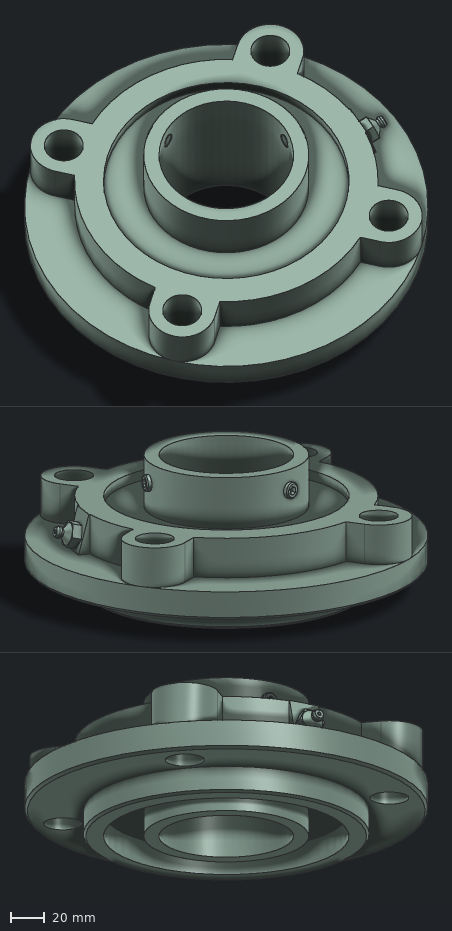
import cadquery as cq
import math

flange_diameter = 240.0
spigot_diameter = 170.0
spigot_height = 15.8
spigot_chamfer = 1.5
flange_top = 33.4
flange_chamfer = 1.7
boss_diameter = 180.5
boss_top = 57.8
lug_radius = 20.0
bolt_hole_diameter = 23.0
lug_count = 4
lug_center_radius = flange_diameter / 2 - lug_radius
lug_angles = [45 + i * 360 / lug_count for i in range(lug_count)]

overall_height = 83.3
outer_ring_diameter = 146.0
outer_ring_recess = 6.2
outer_ring_top = boss_top - outer_ring_recess
outer_ring_bottom = 2 * flange_top - outer_ring_top
inner_ring_diameter = 98.2
shaft_diameter = 80.0
screw_angles = [90, 210]
screw_height = 70.5
screw_diameter = 10.0
screw_end_diameter = 8.5
screw_projection = 3.0
screw_tip_recess = 0.5
socket_width = 5.3
socket_depth = 3.5

nipple_tilt = 15.0
pad_width = 20.0
pad_top_y = 90.5
nipple_height = 42.5
nipple_hex_corners = 17.0
nipple_hex_length = 6.0
nipple_cone_diameter = 14.0
nipple_neck_diameter = 5.3
nipple_neck_start = 9.5
nipple_head_start = 11.0
nipple_head_diameter = 7.2
nipple_head_end = 12.5
nipple_tip_diameter = 5.8
nipple_length = 14.2
nipple_hole_diameter = 2.2
nipple_hole_depth = 2.0


def cylinder(diameter, bottom, top):
    return cq.Workplane("XY").workplane(offset=bottom).circle(diameter / 2).extrude(top - bottom)


def pad_face_y(height):
    """Y of the sloping pad face at a given height."""
    return pad_top_y + (boss_top - height) * math.tan(math.radians(nipple_tilt))


def make_lug(angle):
    """Lug with parallel sides running in to the boss and a round outer end."""
    lug_height = boss_top - flange_top
    side = (
        cq.Workplane("XY")
        .workplane(offset=flange_top)
        .center(lug_center_radius / 2, 0)
        .rect(lug_center_radius, 2 * lug_radius)
        .extrude(lug_height)
    )
    end = cylinder(2 * lug_radius, flange_top, boss_top).translate((lug_center_radius, 0, 0))
    return side.union(end).rotate((0, 0, 0), (0, 0, 1), angle)


def make_nipple_pad():
    inner_y = outer_ring_diameter / 2
    return (
        cq.Workplane("YZ")
        .polyline([
            (inner_y, flange_top),
            (pad_face_y(flange_top), flange_top),
            (pad_top_y, boss_top),
            (inner_y, boss_top),
        ])
        .close()
        .extrude(pad_width / 2, both=True)
    )


def make_nipple():
    """Grease nipple standing square to the pad face."""
    tilt = math.radians(nipple_tilt)
    base = cq.Plane(
        origin=(0, pad_face_y(nipple_height), nipple_height),
        xDir=(1, 0, 0),
        normal=(0, math.cos(tilt), math.sin(tilt)),
    )
    hexagon = cq.Workplane(base).polygon(6, nipple_hex_corners).extrude(nipple_hex_length)
    tip = (
        cq.Workplane(base)
        .polyline([
            (0, 0),
            (nipple_cone_diameter / 2, 0),
            (nipple_cone_diameter / 2, nipple_hex_length),
            (nipple_neck_diameter / 2, nipple_neck_start),
            (nipple_neck_diameter / 2, nipple_head_start),
            (nipple_head_diameter / 2, nipple_head_start),
            (nipple_head_diameter / 2, nipple_head_end),
            (nipple_tip_diameter / 2, nipple_length),
            (0, nipple_length),
        ])
        .close()
    )
    tip = tip.revolve(360, (0, 0, 0), (0, 1, 0)).rotate(
        base.origin.toTuple(), (base.origin + base.xDir).toTuple(), 90
    )
    hole = (
        cq.Workplane(base)
        .workplane(offset=nipple_length - nipple_hole_depth)
        .circle(nipple_hole_diameter / 2)
        .extrude(nipple_hole_depth)
    )
    return hexagon.union(tip).cut(hole)


def make_housing():
    spigot = cylinder(spigot_diameter, 0, flange_top).faces("<Z").chamfer(spigot_chamfer)
    flange = cylinder(flange_diameter, spigot_height, flange_top).faces("<Z").chamfer(flange_chamfer)
    body = spigot.union(flange).union(cylinder(boss_diameter, flange_top, boss_top))
    for angle in lug_angles:
        body = body.union(make_lug(angle))
    body = body.union(make_nipple_pad())
    body = body.cut(cylinder(outer_ring_diameter, 0, boss_top))
    bolt_holes = (
        cq.Workplane("XY")
        .polarArray(lug_center_radius, lug_angles[0], 360, lug_count)
        .circle(bolt_hole_diameter / 2)
        .extrude(boss_top)
    )
    return body.cut(bolt_holes).union(make_nipple())


def radial_plane(angle, radius):
    """Plane facing outward at the set screw height."""
    direction = cq.Vector(math.cos(math.radians(angle)), math.sin(math.radians(angle)), 0)
    origin = direction * radius + cq.Vector(0, 0, screw_height)
    return cq.Plane(origin=origin, xDir=(0, 0, 1), normal=direction)


def add_set_screw(ring, angle):
    """Set screw with a chamfered outer end, a hexagon socket and a narrower tip recess open to the bore."""
    tip_radius = shaft_diameter / 2 + screw_tip_recess
    end_radius = inner_ring_diameter / 2 + screw_projection
    screw = (
        cq.Workplane(radial_plane(angle, tip_radius))
        .circle(screw_diameter / 2)
        .extrude(end_radius - tip_radius)
        .faces(cq.selectors.DirectionMinMaxSelector(radial_plane(angle, 0).zDir))
        .chamfer((screw_diameter - screw_end_diameter) / 2)
    )
    socket = cq.Workplane(radial_plane(angle, end_radius)).polygon(6, socket_width).extrude(-socket_depth)
    tip_gap = cq.Workplane(radial_plane(angle, 0)).circle(screw_end_diameter / 2).extrude(tip_radius)
    return ring.union(screw).cut(socket).cut(tip_gap)


def make_bearing():
    bearing = cylinder(inner_ring_diameter, 0, overall_height)
    bearing = bearing.union(cylinder(outer_ring_diameter, outer_ring_bottom, outer_ring_top))
    bearing = bearing.cut(cylinder(shaft_diameter, 0, overall_height))
    for angle in screw_angles:
        bearing = add_set_screw(bearing, angle)
    return bearing


housing = make_housing()
bearing = make_bearing()
result = cq.Compound.makeCompound([housing.val(), bearing.val()])